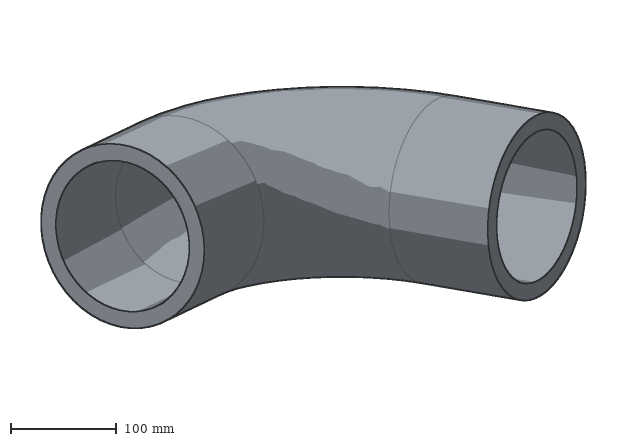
import cadquery as cq

outer_diameter = 180.0
bore_diameter = 147.2

overall_length = 375.0
spigot_length = 109.0
bend_angle = 90.0
bend_radius = overall_length - outer_diameter / 2 - spigot_length


def elbow_solid(diameter):
    """Solid round bar along the elbow: spigot along Y, bend, spigot along X.

    The bend starts at the origin and its centre lies on the +X axis.
    """
    radius = diameter / 2
    inlet = cq.Workplane("XZ").circle(radius).extrude(spigot_length)
    bend = (
        cq.Workplane("XZ")
        .circle(radius)
        .revolve(bend_angle, (bend_radius, 1, 0), (bend_radius, 0, 0))
    )
    outlet = (
        cq.Workplane("YZ", origin=(bend_radius, bend_radius, 0))
        .circle(radius)
        .extrude(spigot_length)
    )
    return inlet.union(bend).union(outlet)


result = elbow_solid(outer_diameter).cut(elbow_solid(bore_diameter))